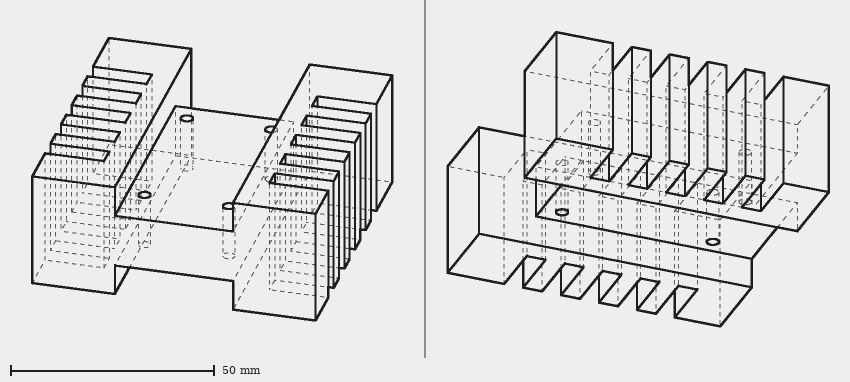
import cadquery as cq

length = 72.0
width = 72.0
height = 30.0

web_width = 30.0
web_length = 57.0
web_thickness = 14.0

slot_count = 5
slot_width = 5.0
slot_depth = 15.0
slot_pitch = 10.0
first_slot_start = 12.0

hole_diameter = 3.0
hole_spacing_x = 21.45
hole_spacing_y = 39.8
first_hole_y = 12.0

block_width = (width - web_width) / 2


def corner_box(size_x, size_y, size_z, corner):
    """Box extending in the positive directions from its minimum corner."""
    return cq.Workplane("XY").box(size_x, size_y, size_z, centered=False).translate(corner)


left_block = corner_box(block_width, length, height, (0, 0, 0))
right_block = corner_box(block_width, length, height, (width - block_width, 0, 0))
web_bottom = (height - web_thickness) / 2
web = corner_box(web_width, web_length, web_thickness, (block_width, 0, web_bottom))
result = left_block.union(web).union(right_block)

for index in range(slot_count):
    slot_y = first_slot_start + index * slot_pitch
    for slot_x in (0, width - slot_depth):
        result = result.cut(corner_box(slot_depth, slot_width, height, (slot_x, slot_y, 0)))

hole_pattern_center = (width / 2, first_hole_y + hole_spacing_y / 2)
holes = (
    cq.Workplane("XY")
    .center(*hole_pattern_center)
    .rarray(hole_spacing_x, hole_spacing_y, 2, 2)
    .circle(hole_diameter / 2)
    .extrude(height)
)
result = result.cut(holes)